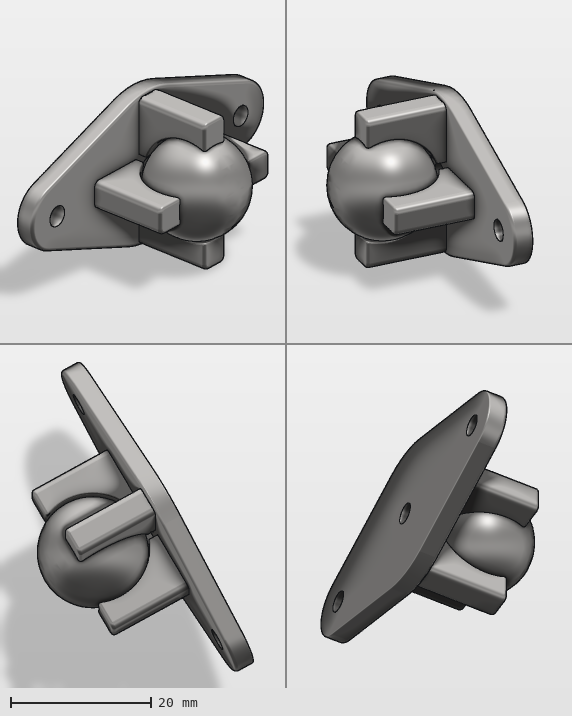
import cadquery as cq
import math

plate_thickness = 3.0
plate_length = 50.7
plate_height = 24.55
screw_spacing = 40.0
hole_diameter = 3.2
plate_front_fillet = 0.5
plate_back_fillet = 0.2
middle_radius = plate_height / 2
end_radius = (plate_length - screw_spacing) / 2

ball_radius = 7.95
overall_depth = 20.0
ball_center_x = overall_depth - ball_radius

arm_end_x = 15.45
arm_reach = 11.85
arm_width = 4.45
arm_side_fillet = 0.95
arm_end_fillet = 0.5
arm_count = 4
arm_start_radius = 2.85
socket_clearance = 0.35
socket_edge_fillet = 0.2
socket_radius = ball_radius + socket_clearance


def plate_outline():
    """Closed outline in the YZ plane: arcs joined by their common tangents."""
    tangent_angle = math.asin((middle_radius - end_radius) / (screw_spacing / 2))
    tangent_sin = math.sin(tangent_angle)
    tangent_cos = math.cos(tangent_angle)
    middle_y = middle_radius * tangent_sin
    middle_z = middle_radius * tangent_cos
    end_y = screw_spacing / 2 + end_radius * tangent_sin
    end_z = end_radius * tangent_cos
    return (
        cq.Workplane("YZ")
        .moveTo(-middle_y, middle_z)
        .threePointArc((0, middle_radius), (middle_y, middle_z))
        .lineTo(end_y, end_z)
        .threePointArc((plate_length / 2, 0), (end_y, -end_z))
        .lineTo(middle_y, -middle_z)
        .threePointArc((0, -middle_radius), (-middle_y, -middle_z))
        .lineTo(-end_y, -end_z)
        .threePointArc((-plate_length / 2, 0), (-end_y, end_z))
        .close()
    )


def make_plate():
    plate = plate_outline().extrude(plate_thickness)
    plate = plate.faces(">X").edges().fillet(plate_front_fillet)
    return plate.faces("<X").edges().fillet(plate_back_fillet)


def make_arm(angle):
    """One arm pointing along +Y, hollowed by the socket, then turned about X by the angle."""
    arm_depth = arm_end_x - plate_thickness
    arm_span = arm_reach - arm_start_radius
    arm = (
        cq.Workplane("XY")
        .box(arm_depth, arm_span, arm_width, centered=(False, False, True))
        .translate((plate_thickness, arm_start_radius, 0))
    )
    arm = arm.faces(">Y").edges("|X").fillet(arm_side_fillet)
    arm = arm.faces(">X").edges(">Y or <Z or >Z").fillet(arm_end_fillet)
    socket = cq.Workplane("XY").sphere(socket_radius).translate((ball_center_x, 0, 0))
    arm = arm.cut(socket)
    arm = arm.faces("%SPHERE").edges("<Z or >Z").fillet(socket_edge_fillet)
    return arm.rotate((0, 0, 0), (1, 0, 0), angle)


def make_holder():
    holder = make_plate()
    for index in range(arm_count):
        holder = holder.union(make_arm(index * 360 / arm_count))
    holes = (
        cq.Workplane("YZ")
        .pushPoints([(-screw_spacing / 2, 0), (0, 0), (screw_spacing / 2, 0)])
        .circle(hole_diameter / 2)
        .extrude(plate_thickness)
    )
    return holder.cut(holes)


def make_ball():
    return cq.Workplane("XY").sphere(ball_radius).translate((ball_center_x, 0, 0))


holder = make_holder()
ball = make_ball()
result = cq.Compound.makeCompound([holder.val(), ball.val()])